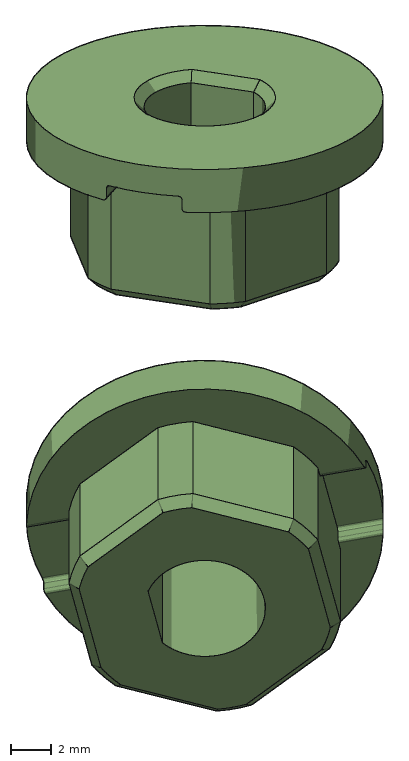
import cadquery as cq

flange_diameter = 17.78
total_height = 8.71
flange_thickness = 2.35
body_height = total_height - flange_thickness

across_flats = 12.7
corner_diameter = 13.75
edge_chamfer = 0.5

bore_diameter = 6.05
bore_flat_offset = 2.52

notch_width = 4.02
notch_height = 0.85
notch_radius = 0.2


def make_body():
    """Full-height hexagon with flats facing +Y and -Y, turned corners and a chamfered lower end."""
    body = cq.Workplane("XY").circle(corner_diameter / 2).extrude(total_height)
    for angle in (0, 60, 120):
        slab = (
            cq.Workplane("XY")
            .rect(flange_diameter, across_flats)
            .extrude(total_height)
            .rotate((0, 0, 0), (0, 0, 1), angle)
        )
        body = body.intersect(slab)
    return body.faces("<Z").chamfer(edge_chamfer)


def make_flange():
    """Round flange with a notch across the -Y and +Y sides of its underside."""
    flange = (
        cq.Workplane("XY", origin=(0, 0, body_height))
        .circle(flange_diameter / 2)
        .extrude(flange_thickness)
    )
    half_width = notch_width / 2
    notch_top = body_height + notch_height
    notch = (
        cq.Workplane("XZ")
        .moveTo(-half_width - notch_radius, body_height)
        .radiusArc((-half_width, body_height + notch_radius), -notch_radius)
        .lineTo(-half_width, notch_top - notch_radius)
        .radiusArc((-half_width + notch_radius, notch_top), notch_radius)
        .lineTo(half_width - notch_radius, notch_top)
        .radiusArc((half_width, notch_top - notch_radius), notch_radius)
        .lineTo(half_width, body_height + notch_radius)
        .radiusArc((half_width + notch_radius, body_height), -notch_radius)
        .close()
        .extrude(flange_diameter / 2, both=True)
    )
    return flange.cut(notch)


def cut_bore(part):
    """Cut the D-shaped bore through the part and chamfer its upper rim."""
    bore_radius = bore_diameter / 2
    flat_half_length = (bore_radius**2 - bore_flat_offset**2) ** 0.5
    part = part.cut(
        cq.Workplane("XY")
        .moveTo(-flat_half_length, bore_flat_offset)
        .threePointArc((0, -bore_radius), (flat_half_length, bore_flat_offset))
        .close()
        .extrude(total_height)
    )
    rim_reach = bore_diameter
    rim = cq.selectors.BoxSelector(
        (-rim_reach, -rim_reach, total_height - edge_chamfer),
        (rim_reach, rim_reach, total_height + edge_chamfer),
        boundingbox=True,
    )
    return part.edges(rim).chamfer(edge_chamfer)


result = cut_bore(make_flange().union(make_body()))